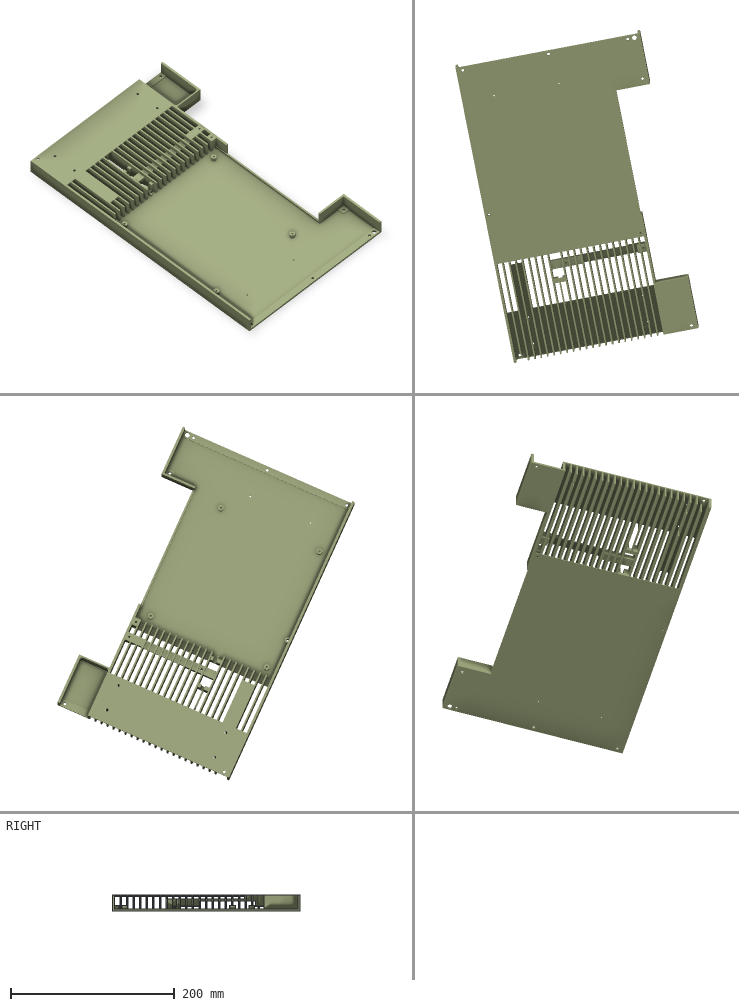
import cadquery as cq

length = 375.0
width = 229.5
height = 20.0

floor = 2.0
edge_strip_top = 3.0
lip_top = 1.0
edge_strip_width = 9.0
wall = 3.0
thin_wall = 2.5
low_wall = 2.2
low_wall_top = 5.0
deck = 2.0

tab_right = 65.0
leg_left = 310.5
fin_bank_rear = 189.0
tray_rear = 187.5
tab_side_wall = 2.0
tab_corner_radius = 3.5
rear_wall_end = 152.2

fin = 2.0
slot_count = 23
fin_end = 135.0
deck_end = 59.2
tray_start = 125.2
fin_pitch = (fin_bank_rear - 2 * wall + fin) / slot_count
slot = fin_pitch - fin
short_fin = 8
corner_fin_start = edge_strip_width
deck_tongue_end = 117.5
tongue_first_fin = 1
tongue_last_fin = 3

rail_left = 104.5
rail_width = 10.0
rail_top = 15.0
rail_bottom = 12.5
rail_foot_bottom = 6.0
front_foot_rear = 106.0
rear_foot_front = 174.8
high_rail_front = 161.5

saddle_length = 5.0
saddle_left = 88.0
saddle_top = 15.0
saddle_slot_diameter = 5.0
saddle_slot_y = 75.8
saddle_slot_height = 6.8
low_fin_top = saddle_slot_height - saddle_slot_diameter / 2

screw_hole = 3.5
corner_hole = 6.0
pilot_hole = 2.5
pin_hole = 2.0
boss = 7.0
boss_top = 7.0
pad_size = 9.8
pad_radius = 3.5

left_hole_x = 4.5
right_hole_x = length - left_hole_x
rear_hole_y = 221.5
front_hole_y = 8.2
corner_hole_point = [(right_hole_x, rear_hole_y)]
edge_hole_points = [
    (left_hole_x, rear_hole_y),
    (left_hole_x, front_hole_y),
    (right_hole_x, front_hole_y),
    (right_hole_x, 114.8),
    (right_hole_x, 213.5),
]
deck_hole_points = [(x, y) for x in (15.8, 49.0) for y in (26.2, 170.2)]
pad_hole_point = [(318.5, rear_hole_y)]
boss_points = [(146.2, 170.2), (146.2, 15.0), (303.8, 147.0), (303.8, 15.0)]
wall_boss_point = [(187.0, 5.2)]
rail_middle = rail_left + rail_width / 2
bank_hole_points = [(rail_middle, 182.5), (rail_middle, 86.0), (130.0, 182.5)]
pin_hole_points = [(332.2, 120.5), (332.2, 39.8)]


def box(x0, x1, y0, y1, z0, z1):
    return cq.Workplane("XY").box(x1 - x0, y1 - y0, z1 - z0, centered=False).translate((x0, y0, z0))


def cylinders(points, diameter, z0, z1):
    return cq.Workplane("XY", origin=(0, 0, z0)).pushPoints(points).circle(diameter / 2).extrude(z1 - z0)


def fin_front(index):
    """Front Y of a fin; index 0 is the fin nearest the front wall."""
    return wall + slot + index * fin_pitch


def fin_rear(index):
    return fin_front(index) + fin


def tray():
    """Thin floor with raised right edge strip, lowered left lip and rear walls."""
    inner_rear = width - wall
    body = box(fin_end, length, 0, tray_rear, 0, floor)
    body = body.union(box(tray_start, fin_end, 0, tray_rear, 0, lip_top))
    body = body.union(box(leg_left, length, 0, width, 0, floor))
    body = body.union(box(length - edge_strip_width, length, 0, width, 0, edge_strip_top))
    body = body.union(box(leg_left, length, inner_rear, width, 0, height))
    body = body.union(box(leg_left, leg_left + thin_wall, tray_rear - low_wall, width, 0, height))
    return body.union(box(tray_start, leg_left, tray_rear - low_wall, tray_rear, 0, low_wall_top))


def rear_tab():
    """Left rear tab: a pocket open to the left, with rounded inner corners."""
    front = fin_bank_rear - wall
    body = box(0, tab_right, front, width, 0, height)
    pocket = box(-tab_right, tab_right - tab_side_wall, fin_bank_rear, width - wall, floor, height)
    pocket = pocket.edges("|Z and >X").fillet(tab_corner_radius)
    body = body.cut(pocket)
    return body.union(box(0, edge_strip_width, front, width, 0, edge_strip_top))


def fin_bank():
    """Long front wall, rear wall, deck with its tongue, and the fins."""
    body = box(0, length, 0, wall, 0, height)
    body = body.union(box(0, rear_wall_end, fin_bank_rear - wall, fin_bank_rear, 0, height))
    body = body.union(box(0, deck_end, 0, fin_bank_rear, height - deck, height))
    tongue_front = fin_front(tongue_first_fin)
    tongue_rear = fin_rear(tongue_last_fin)
    body = body.union(box(0, deck_tongue_end, tongue_front, tongue_rear, height - deck, height))
    for index in range(slot_count - 1):
        start = corner_fin_start if index == 0 else 0
        end = deck_end if index == short_fin else fin_end
        body = body.union(box(start, end, fin_front(index), fin_rear(index), 0, height))
    front = fin_front(short_fin)
    rear = fin_rear(short_fin)
    body = body.union(box(deck_end, saddle_left, front, rear, 0, low_fin_top))
    return body.union(box(tray_start, fin_end, front, rear, 0, low_fin_top))


def cross_rail():
    """Rail across the fins: raised at the rear, with a foot at each end, plus the rear screw pad."""
    right = rail_left + rail_width
    front = fin_front(short_fin - 1)
    rear = fin_bank_rear - wall
    body = box(rail_left, right, front, rear, rail_bottom, rail_top)
    body = body.union(box(rail_left, right, front, front_foot_rear, rail_foot_bottom, rail_top))
    body = body.union(box(rail_left, right, high_rail_front, rear, rail_bottom, height))
    body = body.union(box(rail_left, right, rear_foot_front, rear, rail_foot_bottom, height))
    rear_pad = box(tray_start, fin_end, fin_front(slot_count - 2), rear, rail_foot_bottom, height)
    return body.union(rear_pad)


def saddle(left):
    """Block with a round-bottomed slot open at the top."""
    front = fin_front(short_fin - 1)
    rear = fin_rear(short_fin + 1)
    half_slot = saddle_slot_diameter / 2
    right = left + saddle_length
    body = box(left, right, front, rear, 0, saddle_top)
    slot_front = saddle_slot_y - half_slot
    slot_rear = saddle_slot_y + half_slot
    opening = box(left, right, slot_front, slot_rear, saddle_slot_height, saddle_top)
    seat_plane = cq.Workplane("YZ", origin=(left, saddle_slot_y, saddle_slot_height))
    seat = seat_plane.circle(half_slot).extrude(saddle_length)
    return body.cut(opening).cut(seat)


def corner_pad():
    """Raised pad in the rear corner of the tray leg, rounded at its free corner."""
    right = leg_left + thin_wall + pad_size
    front = width - wall - pad_size
    pad = box(leg_left, right, front, width, 0, edge_strip_top)
    return pad.edges("|Z and >X and <Y").fillet(pad_radius)


result = tray().union(rear_tab()).union(fin_bank()).union(cross_rail())
for left in (saddle_left, tray_start):
    result = result.union(saddle(left))
result = result.union(corner_pad())
result = result.union(cylinders(boss_points + wall_boss_point, boss, 0, boss_top))

through_points = deck_hole_points + edge_hole_points + pad_hole_point + wall_boss_point
result = result.cut(cylinders(through_points, screw_hole, 0, height))
result = result.cut(cylinders(boss_points, pilot_hole, floor, boss_top))
result = result.cut(cylinders(bank_hole_points, pilot_hole, 0, height))
result = result.cut(cylinders(pin_hole_points, pin_hole, 0, height))
result = result.cut(cylinders(corner_hole_point, corner_hole, 0, edge_strip_top))